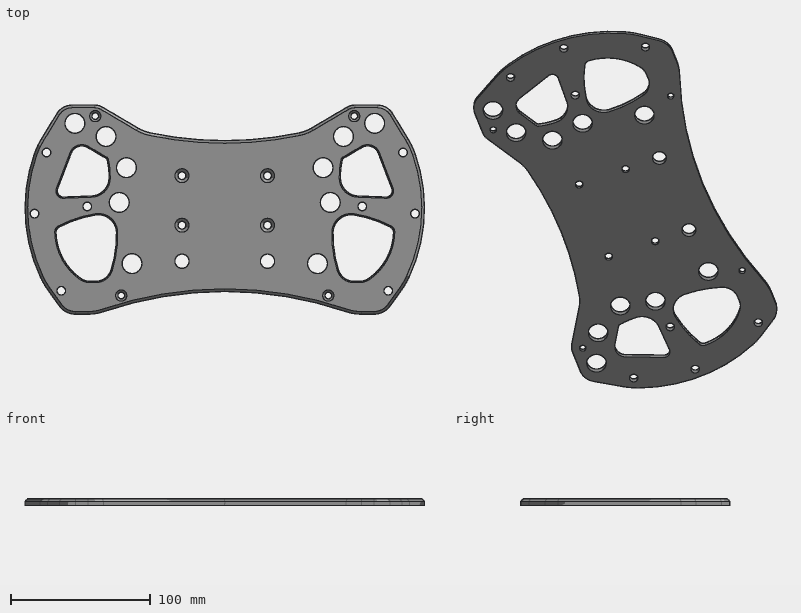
import cadquery as cq

length = 285.5
width = 149.5
thickness = 5.0
half_length = length / 2
half_width = width / 2
edge_chamfer = 2.0
window_chamfer = 1.0

button_hole = 14.0
centre_hole = 10.0
rim_hole = 6.0
mount_bore, mount_sink = 5.5, 10.0
corner_bore, corner_sink = 4.5, 8.0
countersink_angle = 90

mount_x = -30.5
mount_rows = (24.3, -11.0)
centre_hole_y = -36.8
button_centres = [(-107.0, 61.7), (-84.8, 52.2), (-70.2, 30.0), (-75.4, 5.0), (-66.2, -38.5)]
rim_centres = [(-127.3, 40.8), (-136.0, -2.9), (-98.2, 2.3), (-116.7, -58.0)]
corner_centres = [(-92.5, 66.8), (-74.0, -61.5)]

waist_top = 49.5
waist_bottom = -58.5
waist_bottom_arc = (-40.5, -61.7)


flat_top = half_width
flat_bottom = -half_width
plate_corners = [
    ((-58.0, 56.0), (-29.7, 51.0), 28.5),
    ((-90.0, flat_top), None, 11.5),
    ((-116.2, flat_top), None, 12.8),
    ((-133.5, 46.2), None, 57.0),
    ((-129.0, -53.7), (-half_length, 1.0), 57.0),
    ((-114.0, flat_bottom), None, 14.3),
    ((-92.0, flat_bottom), None, 34.3),
]
upper_window = [
    ((-121.5, 8.8), None, 4.3),
    ((-84.5, 10.3), None, 12.8),
    ((-84.2, 36.2), (-82.8, 26.3), 1.5),
    ((-106.2, 49.0), None, 8.0),
]
lower_window = [
    ((-120.5, -13.7), (-119.0, -26.0), 4.3),
    ((-78.8, -2.9), (-104.8, -6.9), 12.8),
    ((-84.2, -51.0), (-78.2, -29.5), 11.5),
    ((-99.5, -51.0), None, 11.5),
]


def mirrored(points):
    """Return the points together with their mirror images across X = 0."""
    return points + [(-x, y) for x, y in points]


def add_side(sketch, end, via):
    """Continue the outline to end, straight or along an arc through via."""
    if via is None:
        return sketch.lineTo(*end)
    return sketch.threePointArc(via, end)


def round_corners(body, corners):
    """Fillet the vertical edge at each corner."""
    for (x, y), _, radius in corners:
        nearest = cq.selectors.NearestToPointSelector((x, y, thickness / 2))
        body = body.edges("|Z").edges(nearest).fillet(radius)
    return body


def plate_half():
    """Left half of the plate blank."""
    sketch = cq.Workplane("XY").moveTo(0, waist_top)
    for corner, via, _ in plate_corners:
        sketch = add_side(sketch, corner, via)
    sketch = sketch.threePointArc(waist_bottom_arc, (0, waist_bottom))
    return round_corners(sketch.close().extrude(thickness), plate_corners)


def window_prism(corners):
    """Prism that cuts one lightening window."""
    start = corners[-1][0]
    sketch = cq.Workplane("XY").moveTo(*start)
    for corner, via, _ in corners:
        sketch = add_side(sketch, corner, via)
    return round_corners(sketch.close().extrude(thickness), corners)


half = plate_half()
plate = half.union(half.mirror("YZ")).clean()
plate = plate.faces(">Z").chamfer(edge_chamfer)

for corners in (upper_window, lower_window):
    cutter = window_prism(corners)
    for opening in (cutter, cutter.mirror("YZ")):
        plate = plate.cut(opening)
        x, y, _ = opening.faces(">Z").val().Center().toTuple()
        rims = plate.faces(">Z").val().innerWires()
        rim = min(rims, key=lambda wire: (wire.Center() - cq.Vector(x, y, thickness)).Length)
        plate = plate.newObject(rim.Edges()).chamfer(window_chamfer)

top = plate.faces(">Z").workplane(origin=(0, 0, thickness))
for diameter, centres in (
    (button_hole, button_centres),
    (rim_hole, rim_centres),
    (centre_hole, [(mount_x, centre_hole_y)]),
):
    plate = top.pushPoints(mirrored(centres)).hole(diameter)
    top = plate.faces(">Z").workplane(origin=(0, 0, thickness))

mount_centres = [(mount_x, y) for y in mount_rows]
for bore, sink, centres in (
    (mount_bore, mount_sink, mount_centres),
    (corner_bore, corner_sink, corner_centres),
):
    plate = top.pushPoints(mirrored(centres)).cskHole(bore, sink, countersink_angle)
    top = plate.faces(">Z").workplane(origin=(0, 0, thickness))

result = plate